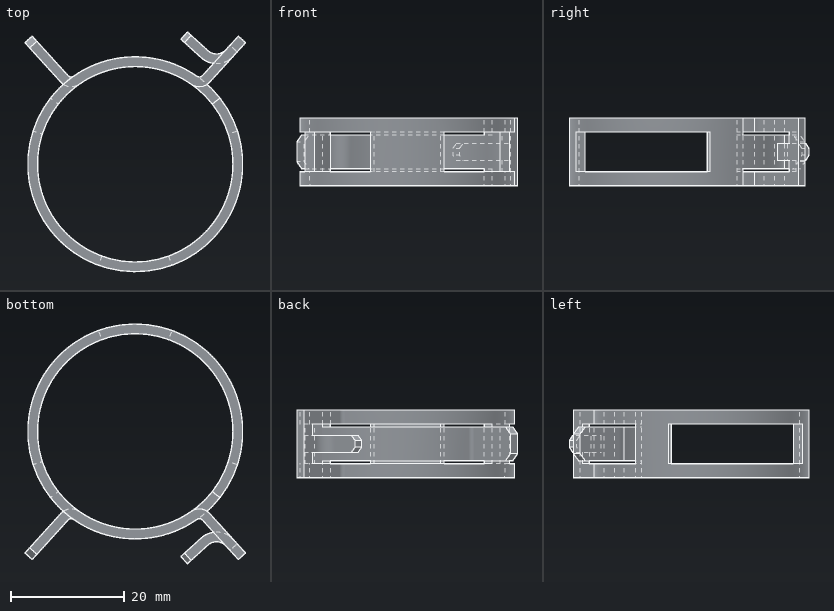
import cadquery as cq
import math

band_height = 12.0
thickness = 1.75
outer_radius = 19.0
inner_radius = outer_radius - thickness

opening_height = 7.0
bridge_half_angle = 20.0
window_end_angle = 18.0
overlap_angle = 38.0

cutter_reach = 2 * outer_radius

ear_angle = 47.75
ear_half_span = 19.5
ear_tip_distance = ear_half_span / math.cos(math.radians(ear_angle))
ear_bend_radius = 0.75
ear_end_bar = 2.2

tongue_width = 6.0
tongue_chamfer = 1.25

hook_width = 3.0
hook_chamfer = 0.9
hook_bend_radius = 2.25
hook_bend_distance = 25.75
hook_straight = 4.9


def polar(radius, angle):
    """Point at a radius and an angle in degrees."""
    return (radius * math.cos(math.radians(angle)), radius * math.sin(math.radians(angle)))


def ear_point(along, across):
    """Point given by its distance along the right ear and across it, inward from its outer face."""
    along_x, along_y = polar(along, ear_angle)
    across_x, across_y = polar(across, ear_angle + 90)
    return (along_x + across_x, along_y + across_y)


def offset(point, radius, angle):
    """Point moved by a radius in a direction."""
    dx, dy = polar(radius, angle)
    return (point[0] + dx, point[1] + dy)


def centred_extrude(profile, height):
    """Extrude a closed XY profile, centred on Z = 0."""
    return profile.extrude(height / 2, both=True)


def eared_strip(start_angle, ear_end, height):
    """Strip from an angle on the band, clockwise over its top, bending outward into the right ear."""
    outside_bend_radius = ear_bend_radius + thickness

    centre_distance = outer_radius + ear_bend_radius
    swing = math.asin(outside_bend_radius / centre_distance)
    centre_angle = ear_angle + math.degrees(swing)
    centre = polar(centre_distance, centre_angle)
    bend_end = centre_distance * math.cos(swing)
    middle_angle = (start_angle + centre_angle) / 2
    bend_start_angle = centre_angle + 180
    bend_end_angle = ear_angle + 270
    bend_middle_angle = (bend_start_angle + bend_end_angle) / 2

    profile = (
        cq.Workplane("XY")
        .moveTo(*polar(outer_radius, start_angle))
        .threePointArc(polar(outer_radius, middle_angle), polar(outer_radius, centre_angle))
        .threePointArc(
            offset(centre, ear_bend_radius, bend_middle_angle),
            ear_point(bend_end, thickness),
        )
        .lineTo(*ear_point(ear_end, thickness))
        .lineTo(*ear_point(ear_end, 0))
        .lineTo(*ear_point(bend_end, 0))
        .threePointArc(
            offset(centre, outside_bend_radius, bend_middle_angle),
            polar(inner_radius, centre_angle),
        )
        .threePointArc(polar(inner_radius, middle_angle), polar(inner_radius, start_angle))
        .close()
    )
    return centred_extrude(profile, height)


def chamfer_tip(strip, tip_point, size):
    """Chamfer the two corners at the tip of a strip, nearest a point in its mid-plane."""
    tip_face = strip.faces(cq.selectors.NearestToPointSelector((*tip_point, 0)))
    return tip_face.edges("not |Z").edges(">Z or <Z").chamfer(size)


def make_window():
    """Wedge from the band axis that cuts the right side window."""
    start_angle = 270 + bridge_half_angle
    end_angle = 360 + window_end_angle
    profile = cq.Workplane("XY").polyline([
        (0, 0),
        polar(cutter_reach, start_angle),
        polar(cutter_reach, (start_angle + end_angle) / 2),
        polar(cutter_reach, end_angle),
    ]).close()
    return centred_extrude(profile, opening_height)


def make_slot():
    """Cutter for the slot that leaves two rails over the top, joined by the right ear's end bar."""
    slot_end = ear_tip_distance - ear_end_bar
    profile = cq.Workplane("XY").polyline([
        (0, 0),
        ear_point(0, -thickness),
        ear_point(slot_end, -thickness),
        ear_point(slot_end, cutter_reach),
        polar(cutter_reach, 180 - overlap_angle),
    ]).close()
    return centred_extrude(profile, opening_height)


def make_tongue():
    """Narrow strip from the right end of the band, bent out into the left ear."""
    strip = eared_strip(180 - overlap_angle, ear_tip_distance, tongue_width)
    strip = chamfer_tip(strip, ear_point(ear_tip_distance, thickness / 2), tongue_chamfer)
    return strip.mirror("YZ")


def make_hook():
    """Tab running down from the end bar and bent inward, square to the right ear."""
    root = ear_tip_distance - ear_end_bar
    outside_bend_radius = hook_bend_radius + thickness
    centre = ear_point(hook_bend_distance, outside_bend_radius)
    bend_middle_angle = ear_angle + 180 + 45
    tip = outside_bend_radius + hook_straight
    upper_face = hook_bend_distance - hook_bend_radius
    lower_face = upper_face - thickness

    profile = (
        cq.Workplane("XY")
        .moveTo(*ear_point(root, 0))
        .lineTo(*ear_point(root, thickness))
        .lineTo(*ear_point(hook_bend_distance, thickness))
        .threePointArc(
            offset(centre, hook_bend_radius, bend_middle_angle),
            ear_point(upper_face, outside_bend_radius),
        )
        .lineTo(*ear_point(upper_face, tip))
        .lineTo(*ear_point(lower_face, tip))
        .lineTo(*ear_point(lower_face, outside_bend_radius))
        .threePointArc(
            offset(centre, outside_bend_radius, bend_middle_angle),
            ear_point(hook_bend_distance, 0),
        )
        .close()
    )
    hook = centred_extrude(profile, hook_width)
    return chamfer_tip(hook, ear_point((upper_face + lower_face) / 2, tip), hook_chamfer)


right_window = make_window()
left_window = right_window.mirror("YZ")

band = eared_strip(360 + overlap_angle, ear_tip_distance, band_height)
band = band.cut(right_window).cut(left_window).cut(make_slot())
result = band.union(make_tongue()).union(make_hook())